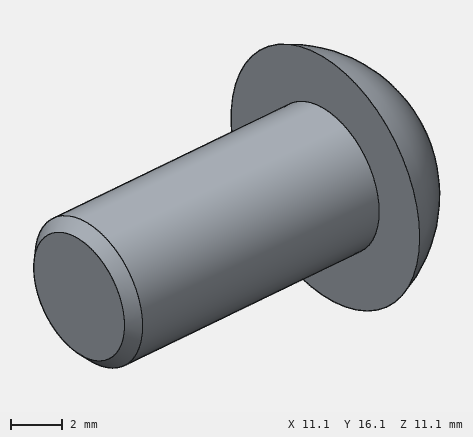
import cadquery as cq
import math

total_length = 16.05
head_diameter = 11.12
head_height = 3.37
crown_flat_diameter = 5.2
shank_diameter = 6.35
tip_chamfer = 0.5

head_radius = head_diameter / 2
crown_radius = crown_flat_diameter / 2
shank_radius = shank_diameter / 2
shank_length = total_length - head_height

center_depth = (head_radius**2 - crown_radius**2 - head_height**2) / (2 * head_height)
dome_radius = math.hypot(head_radius, center_depth)
dome_mid_height = head_height / 2
dome_mid_radius = math.sqrt(dome_radius**2 - (center_depth + dome_mid_height) ** 2)

profile = (
    cq.Workplane("XY")
    .lineTo(shank_radius - tip_chamfer, 0)
    .lineTo(shank_radius, tip_chamfer)
    .lineTo(shank_radius, shank_length)
    .lineTo(head_radius, shank_length)
    .threePointArc(
        (dome_mid_radius, shank_length + dome_mid_height),
        (crown_radius, total_length),
    )
    .lineTo(0, total_length)
    .close()
)

result = profile.revolve(360, (0, 0, 0), (0, 1, 0))